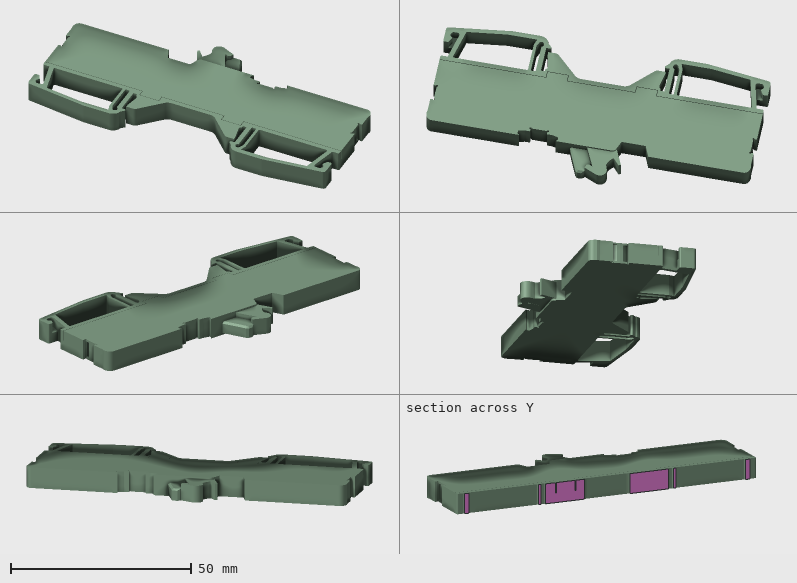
import cadquery as cq
import math

length = 91.8
thickness = 5.9
half_length = length / 2
overlap = 0.5

plate_half_length = 45.7
plate_top = 21.3
plate_corner_radius = 1.65
flange_radius = 0.4
bead_crest_y = 19.2
bead_half_width = 0.8

seam_y = 1.4
seam_drop_y = -0.55
seam_drop_inner = 9.6
seam_drop_outer = 15.6
seam_width = 0.14
seam_depth = thickness / 2

gap_left = -17.3
gap_right = -7.7
gap_floor = 18.0
gap_slope = 1.4
gap_round = 1.2

recess_center = 14.1
recess_mouth_half = 5.1
recess_lip_half = 5.7
recess_lip_y = 20.75
recess_side_y = 20.0
recess_ledge_y = 19.6
recess_ledge_half = 3.9
recess_well_half = 2.4
recess_relief_half = 2.8
recess_floor = 18.5
relief_size = 0.55
relief_drop = 0.3

notch_bottom = 9.9
notch_top = 14.5
notch_floor_x = 44.7
notch_crown = 0.1
notch_relief_radius = 0.3
catch_inset = 0.55
catch_length = 1.5
catch_depth = 0.9

bracket_bottom = -11.7
arm_bend_x = -27.5
arm_bend_radius = 3.7
window_bend_x = -28.8
arm_thickness = 1.4
arm_left_y = -9.5
strut_outer_x = -43.7
strut_inner_x = -42.3
strut_lean = 0.245
hook_top = -4.7
hook_corner = 0.8
hook_top_radius = 0.4
wall_x = -17.4
wall_top = -0.55
barb_top = -8.1
barb_tip_x = -16.1
barb_root_y = -9.8
barb_bevel = 0.3
heel_start_x = -19.5
heel_middle = (-18.2, -11.2)
heel_end_x = -17.3
heel_end_y = -10.2
slot_left = -20.2
slot_right = -18.8
slot_bulb_x = -19.0
slot_bulb_y = -9.0
slot_bulb_radius = 0.78
window_right = -21.0
window_left_y = -8.9
window_foot_x = -20.4
window_foot_step = 0.5
window_round = 0.4
pocket_depth = thickness / 2

foot_bottom = -6.9
foot_inner_x = -14.0
foot_round = 2.7
foot_toe_radius = 1.3
foot_outer_x = -16.6
foot_root_x = -16.3
foot_relief = 0.55
foot_land = 0.8

latch_inset = 0.55
latch_root_y = 19.3
head_x = -4.9
head_y = 27.7
head_radius = 1.9
lever_root_left = 0.9
lever_root_right = 5.8
lever_top_y = 28.7
lever_step = 1.4
lever_chamfer = 0.55


def extrude(outline, bottom=0.0, top=thickness):
    """Prism from a closed XY sketch between two Z levels."""
    return outline.extrude(top - bottom).translate((0, 0, bottom))


def prism(points, bottom=0.0, top=thickness):
    """Prism from the corner points of a polygon."""
    return extrude(cq.Workplane("XY").polyline(points).close(), bottom, top)


def mirrored(shape):
    """The shape together with its mirror image about X = 0."""
    return shape.union(shape.mirror("YZ"))


def fillet_at(shape, x, y, radius):
    """Round the upright edge that stands nearest to the point (x, y)."""
    nearest = cq.selectors.NearestToPointSelector((x, y, thickness / 2))
    return shape.edges("|Z").edges(nearest).fillet(radius)


def strut_x(root_x, y):
    """X of a strut flank at height y, for a flank that meets the web at root_x."""
    return root_x - strut_lean * y


def make_plate():
    """Main plate with rounded corners."""
    width = 2 * plate_half_length
    plate = cq.Workplane("XY").box(width, plate_top, thickness, centered=(True, False, False))
    plate = plate.edges("|Z and >Y").fillet(plate_corner_radius)
    return plate.edges("|Z and <Y").fillet(flange_radius)


def make_end_bead():
    """Shallow pointed bead on the left end, just below the rounded corner."""
    return prism([
        (-plate_half_length + overlap, bead_crest_y + bead_half_width),
        (-plate_half_length, bead_crest_y + bead_half_width),
        (-half_length, bead_crest_y),
        (-plate_half_length, bead_crest_y - bead_half_width),
        (-plate_half_length + overlap, bead_crest_y - bead_half_width),
    ])


def make_gap():
    """Trapezoidal cutter for the top edge."""
    return prism([
        (gap_left, plate_top),
        (gap_left + gap_slope, gap_floor),
        (gap_right - gap_slope, gap_floor),
        (gap_right, plate_top),
    ])


def make_recess():
    """Symmetric cutter: undercut mouth, sloping ledges and a central well with corner reliefs."""
    half = [
        (recess_mouth_half, plate_top),
        (recess_lip_half, recess_lip_y),
        (recess_lip_half, recess_side_y),
        (recess_ledge_half, recess_ledge_y),
        (recess_well_half, recess_ledge_y),
        (recess_well_half, recess_floor + relief_size - relief_drop),
        (recess_relief_half, recess_floor + relief_size - relief_drop),
        (recess_relief_half, recess_floor - relief_drop),
        (recess_relief_half - 2 * relief_drop, recess_floor - relief_drop),
        (recess_relief_half - 2 * relief_drop, recess_floor),
    ]
    other_half = [(-x, y) for x, y in reversed(half)]
    return prism(half + other_half).translate((recess_center, 0, 0))


def make_end_notch():
    """Left end notch: crowned floor, relieved corners and two wedge-shaped catch pockets."""
    floor_x = -notch_floor_x
    middle = (notch_bottom + notch_top) / 2
    notch = prism([
        (-half_length - overlap, notch_bottom),
        (floor_x, notch_bottom),
        (floor_x - notch_crown, middle),
        (floor_x, notch_top),
        (-half_length - overlap, notch_top),
    ])
    corners = [(floor_x, notch_bottom), (floor_x, notch_top)]
    notch = notch.union(
        extrude(cq.Workplane("XY").pushPoints(corners).circle(notch_relief_radius))
    )
    for edge_y, inward in ((notch_bottom, 1), (notch_top, -1)):
        catch = prism(
            [
                (floor_x - notch_crown, edge_y),
                (floor_x + catch_depth, edge_y),
                (floor_x + catch_depth / 2, edge_y + inward * catch_length / 2),
                (floor_x - notch_crown, edge_y + inward * catch_length),
            ],
            catch_inset,
            thickness - catch_inset,
        )
        notch = notch.union(catch)
    return notch


def make_bracket_outline():
    """Solid bracket: strut, hook, arm, heel and the upright wall with its barb."""
    hook_sag = hook_corner * (1 - math.sqrt(0.5))
    hook_corner_middle = (-half_length + hook_sag, arm_left_y + hook_sag)
    bracket = extrude(
        cq.Workplane("XY")
        .moveTo(strut_outer_x, overlap)
        .lineTo(strut_outer_x, 0)
        .lineTo(strut_x(strut_outer_x, hook_top), hook_top)
        .lineTo(-half_length, hook_top)
        .lineTo(-half_length, arm_left_y + hook_corner)
        .threePointArc(hook_corner_middle, (-half_length + hook_corner, arm_left_y))
        .lineTo(arm_bend_x, bracket_bottom)
        .lineTo(heel_start_x, bracket_bottom)
        .threePointArc(heel_middle, (heel_end_x, heel_end_y))
        .lineTo(heel_end_x, barb_root_y)
        .lineTo(barb_tip_x, barb_root_y - heel_end_x + barb_tip_x)
        .lineTo(barb_tip_x, barb_top - barb_bevel)
        .lineTo(barb_tip_x - barb_bevel, barb_top)
        .lineTo(wall_x, barb_top)
        .lineTo(wall_x, overlap)
        .close()
    )
    bracket = fillet_at(bracket, arm_bend_x, bracket_bottom, arm_bend_radius)
    return fillet_at(bracket, -half_length, hook_top, hook_top_radius)


def make_window():
    """Large opening between strut, arm and wall."""
    floor_y = bracket_bottom + arm_thickness
    window = prism([
        (strut_inner_x, 0),
        (strut_x(strut_inner_x, window_left_y), window_left_y),
        (window_bend_x, floor_y),
        (window_foot_x, floor_y),
        (window_foot_x - window_foot_step / 2, floor_y + window_foot_step),
        (window_right, slot_bulb_y + window_foot_step),
        (window_right, 0),
    ])
    return window.edges("|Z and >Y").fillet(window_round)


def make_slot():
    """Narrow slot beside the wall, ending in a round bulb."""
    width = slot_right - slot_left
    slot = prism([
        (slot_left, 0),
        (slot_left, slot_bulb_y + slot_bulb_radius),
        (slot_bulb_x - slot_bulb_radius, slot_bulb_y),
        (slot_bulb_x, slot_bulb_y),
        (slot_right, slot_bulb_y + slot_bulb_radius),
        (slot_right, 0),
    ])
    slot = slot.edges("|Z and >Y").fillet(width / 4)
    bulb = cq.Workplane("XY").center(slot_bulb_x, slot_bulb_y).circle(slot_bulb_radius)
    return slot.union(extrude(bulb))


def make_hook_pocket():
    """Blind pocket between hook and strut, narrowed by a lip at its mouth."""
    return extrude(
        cq.Workplane("XY")
        .moveTo(-44.5, hook_top)
        .lineTo(-43.7, -6.1)
        .lineTo(-43.6, -6.2)
        .lineTo(-44.25, -6.8)
        .threePointArc((-44.25, -7.5), (-43.6, -8.2))
        .lineTo(-42.5, -8.2)
        .threePointArc((-42.05, -8.0), (-41.9, -7.5))
        .lineTo(strut_x(strut_outer_x, -6.4), -6.4)
        .lineTo(strut_x(strut_outer_x, hook_top), hook_top)
        .close(),
        thickness - pocket_depth,
    )


def make_foot():
    """Sloping foot beside the bracket wall, blended into the underside of the web."""
    root_x = foot_inner_x - foot_bottom
    half_turn = math.radians(45) / 2
    tangent = foot_round * math.tan(half_turn)
    diagonal = tangent * math.sqrt(0.5)
    blend_middle = (
        root_x + tangent - foot_round * math.sin(half_turn),
        -foot_round * (1 - math.cos(half_turn)),
    )
    foot = extrude(
        cq.Workplane("XY")
        .moveTo(wall_x, overlap)
        .lineTo(wall_x, wall_top)
        .lineTo(foot_root_x, wall_top)
        .lineTo(foot_root_x, wall_top - foot_relief)
        .lineTo(foot_root_x + foot_relief, wall_top - 2 * foot_relief)
        .lineTo(foot_root_x + foot_relief, wall_top - 3 * foot_relief)
        .lineTo(foot_outer_x, foot_bottom + foot_land)
        .lineTo(foot_outer_x, foot_bottom)
        .lineTo(foot_inner_x, foot_bottom)
        .lineTo(root_x - diagonal, -diagonal)
        .threePointArc(blend_middle, (root_x + tangent, 0))
        .lineTo(root_x + tangent, overlap)
        .close()
    )
    return fillet_at(foot, foot_inner_x, foot_bottom, foot_toe_radius)


def make_seam():
    """Narrow groove along the plate edge that dips below the web at each foot."""
    half = [
        (half_length, seam_y),
        (seam_drop_outer, seam_y),
        (seam_drop_outer, seam_drop_y),
        (seam_drop_inner, seam_drop_y),
        (seam_drop_inner, seam_y),
    ]
    path = [(-x, y) for x, y in half] + half[::-1]
    groove = None
    for (x0, y0), (x1, y1) in zip(path, path[1:]):
        segment = cq.Workplane("XY").box(
            abs(x1 - x0) + seam_width, abs(y1 - y0) + seam_width, seam_depth
        )
        segment = segment.translate(
            ((x0 + x1) / 2, (y0 + y1) / 2, thickness - seam_depth / 2)
        )
        groove = segment if groove is None else groove.union(segment)
    return groove


def head_point(degrees):
    """Point on the rounded head of the hook at an angle measured from +X."""
    angle = math.radians(degrees)
    return (
        head_x + head_radius * math.cos(angle),
        head_y + head_radius * math.sin(angle),
    )


def make_latch_hook():
    """Hook with a pointed finger, a V-shaped mouth, a round head and a nose over the lever."""
    return extrude(
        cq.Workplane("XY")
        .moveTo(-7.7, latch_root_y)
        .lineTo(-10.3, 25.1)
        .lineTo(-9.6, 25.3)
        .lineTo(-7.9, 23.3)
        .threePointArc((-6.7, 24.7), (-6.2, 25.9))
        .lineTo(*head_point(205))
        .threePointArc(head_point(135), head_point(66))
        .lineTo(-0.55, 27.9)
        .lineTo(-0.9, 26.8)
        .lineTo(-1.6, 26.6)
        .lineTo(-2.7, 27.2)
        .lineTo(lever_root_left, latch_root_y)
        .close(),
        latch_inset,
        thickness - latch_inset,
    )


def make_latch_lever():
    """Slanted lever behind the hook, chamfered along its free edge."""
    lever = extrude(
        cq.Workplane("XY")
        .moveTo(lever_root_left, latch_root_y)
        .lineTo(-1.7, 25.3)
        .lineTo(-1.6, 26.6)
        .lineTo(-1.1, 27.0)
        .lineTo(-0.5, 28.3)
        .lineTo(0.3, lever_top_y)
        .lineTo(1.5, lever_top_y)
        .lineTo(2.0, 28.2)
        .lineTo(lever_root_right, latch_root_y)
        .close(),
        latch_inset,
        thickness - latch_inset - lever_step,
    )
    free_edges = cq.selectors.BoxSelector(
        (0.3, latch_root_y + overlap, 0),
        (lever_root_right, lever_top_y + overlap, thickness),
    )
    return lever.faces(">Z").edges(free_edges).chamfer(lever_chamfer)


plate = make_plate().union(mirrored(make_end_bead()))
plate = fillet_at(plate.cut(make_gap()), gap_right, plate_top, gap_round)
plate = plate.cut(make_recess()).cut(mirrored(make_end_notch()))

bracket = make_bracket_outline().cut(make_window()).cut(make_slot()).cut(make_hook_pocket())
lower_frame = mirrored(bracket.union(make_foot()))

latch = make_latch_hook().union(make_latch_lever())

result = plate.union(lower_frame).cut(make_seam()).union(latch)